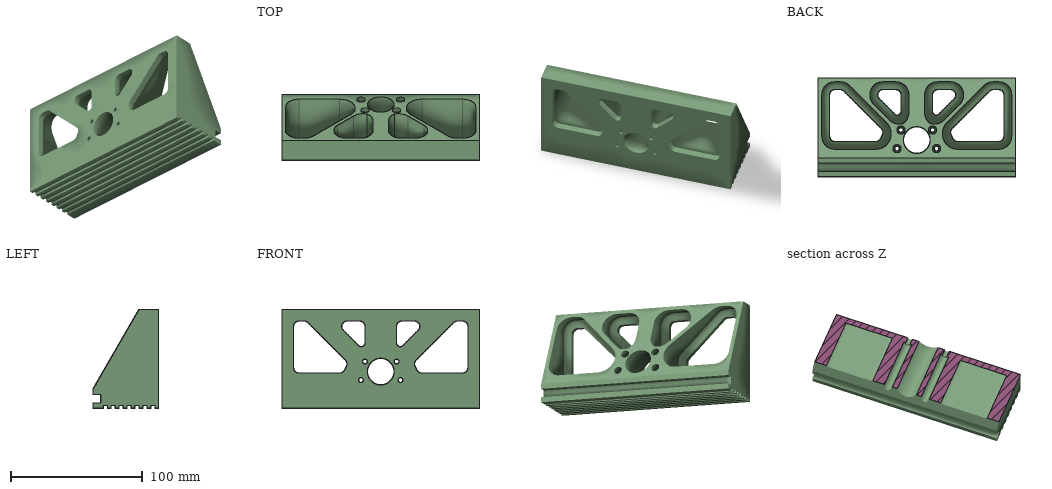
import cadquery as cq
import math

length = 150.0
depth = 50.0
height = 75.0
top_depth = 15.0
slope_from_vertical = 30.0
slope_foot_z = height - (depth - top_depth) / math.tan(math.radians(slope_from_vertical))

slot_bottom_z = 4.0
slot_height = 6.4
slot_depth = 6.0

groove_count = 7
groove_width = 3.0
groove_pitch = 2 * groove_width
groove_depth = 2.0

front_wall = 5.0
lip_width = 6.0
pocket_radius = 10.0
pocket_wall = 3.0
pocket_top_z = height - pocket_wall
large_pocket_outer_x = length / 2 - pocket_wall
large_pocket_floor_z = 20.8
small_pocket_inner_x = 6.0

rib_thickness = 3.0
rib_centre_z = 20.2
half_rib_rise = rib_thickness / 2 * math.sqrt(2)
large_pocket_slant_z = rib_centre_z - half_rib_rise
small_pocket_slant_z = rib_centre_z + half_rib_rise

top_centre_z = pocket_top_z - pocket_radius
large_corner_x = large_pocket_outer_x - pocket_radius
large_floor_centre_z = large_pocket_floor_z + pocket_radius
large_slant_centre_z = large_pocket_slant_z - pocket_radius * math.sqrt(2)
small_corner_x = small_pocket_inner_x + pocket_radius
small_slant_centre_z = small_pocket_slant_z + pocket_radius * math.sqrt(2)

large_nose_radius = 11.8
window_nose_lower_x = 31.0
window_nose_upper_x = 29.7
small_tip_outer_x = 13.4
small_tip_inner_z = 48.6
window_tip_radius = 2.8

bore_diameter = 20.0
bore_z = 27.8
screw_diameter = 3.4
screw_head_diameter = 6.2
upper_screw_x = 12.0
upper_screw_z = 35.4
lower_screw_x = 15.0
lower_screw_z = 21.3

tolerance = 1e-6


def polar(centre, radius, angle):
    """Point on a circle in the XZ plane; angles in degrees from +X towards +Z."""
    turn = math.radians(angle)
    return (centre[0] + radius * math.cos(turn), centre[1] + radius * math.sin(turn))


def rounded_prism(corners, start_y, end_y):
    """Prism along Y whose XZ outline joins corner arcs (centre, radius, start, end) with lines."""
    outline = cq.Workplane("XZ", origin=(0, start_y, 0))
    pen = polar(*corners[0][:3])
    outline = outline.moveTo(*pen)
    for centre, radius, start, end in corners:
        arc_start = polar(centre, radius, start)
        arc_end = polar(centre, radius, end)
        if math.dist(pen, arc_start) > tolerance:
            outline = outline.lineTo(*arc_start)
        outline = outline.threePointArc(polar(centre, radius, (start + end) / 2), arc_end)
        pen = arc_end
    return outline.close().extrude(start_y - end_y)


def direction(start, end):
    """Angle in degrees of the line from start to end."""
    return math.degrees(math.atan2(end[1] - start[1], end[0] - start[0]))


def large_outer_corners(inset):
    """The three corner arcs of the right-hand large opening away from the bore."""
    radius = pocket_radius - inset
    return [
        ((large_corner_x, large_floor_centre_z), radius, -90, 0),
        ((large_corner_x, top_centre_z), radius, 0, 90),
        ((top_centre_z - large_slant_centre_z, top_centre_z), radius, 90, 135),
    ]


def large_pocket_corners():
    """Large pocket: one wide nose arc joins the slant to the floor."""
    nose_x = large_pocket_floor_z - large_pocket_slant_z + large_nose_radius * (1 + math.sqrt(2))
    nose_centre = (nose_x, large_pocket_floor_z + large_nose_radius)
    return large_outer_corners(0) + [(nose_centre, large_nose_radius, 135, 270)]


def large_window_corners():
    """Large window: two arcs with a short straight edge between them form the nose."""
    radius = pocket_radius - lip_width
    upper = (window_nose_upper_x, window_nose_upper_x + large_slant_centre_z)
    lower = (window_nose_lower_x, large_floor_centre_z)
    edge_normal = direction(upper, lower) + 270
    nose = [(upper, radius, 135, edge_normal), (lower, radius, edge_normal, 270)]
    return large_outer_corners(lip_width) + nose


def small_top_corners(inset):
    """The two top corner arcs of the right-hand small opening."""
    radius = pocket_radius - inset
    return [
        ((top_centre_z - small_slant_centre_z, top_centre_z), radius, -45, 90),
        ((small_corner_x, top_centre_z), radius, 90, 180),
    ]


def small_pocket_corners():
    """Small pocket: two arcs meet in a crease at the lower tip."""
    inner = (small_corner_x, small_tip_inner_z)
    outer = (small_tip_outer_x, small_tip_outer_x + small_slant_centre_z)
    crease_angle = direction(outer, inner) + 270
    crease_spread = math.degrees(math.asin(math.dist(inner, outer) / 2 / pocket_radius))
    tip = [
        (inner, pocket_radius, 180, crease_angle - crease_spread),
        (outer, pocket_radius, crease_angle + crease_spread, 315),
    ]
    return small_top_corners(0) + tip


def small_window_corners():
    """Small window: a single arc rounds the lower tip."""
    edge_distance = lip_width + window_tip_radius
    tip_x = small_pocket_inner_x + edge_distance
    tip_z = tip_x + small_pocket_slant_z + edge_distance * math.sqrt(2)
    return small_top_corners(lip_width) + [((tip_x, tip_z), window_tip_radius, 180, 315)]


def block():
    """Wedge-backed block with the back slot and the underside grooves."""
    profile = [
        (0, 0),
        (depth, 0),
        (depth, slope_foot_z),
        (top_depth, height),
        (0, height),
    ]
    body = cq.Workplane("YZ").polyline(profile).close().extrude(length / 2, both=True)
    slot = cq.Workplane("XY").box(length, slot_depth, slot_height, centered=(True, False, False))
    body = body.cut(slot.translate((0, depth - slot_depth, slot_bottom_z)))
    groove = cq.Workplane("XY").box(length, groove_width, groove_depth, centered=(True, False, False))
    for index in range(groove_count):
        body = body.cut(groove.translate((0, groove_width + index * groove_pitch, 0)))
    return body


def cut_both_sides(body, cutter):
    """Cut a right-hand cutter and its mirror image from the body."""
    return body.cut(cutter).cut(cutter.mirror("YZ"))


def cut_pockets(body):
    """Wide pockets from the back, opening through smaller windows in the front wall."""
    for pocket_corners in (large_pocket_corners(), small_pocket_corners()):
        body = cut_both_sides(body, rounded_prism(pocket_corners, front_wall, depth))
    for window_corners in (large_window_corners(), small_window_corners()):
        body = cut_both_sides(body, rounded_prism(window_corners, 0, front_wall))
    return body


def hole(x, z, diameter, start_y):
    """Cylinder along Y from start_y out through the back."""
    return cq.Workplane("XZ", origin=(x, start_y, z)).circle(diameter / 2).extrude(start_y - depth)


def cut_motor_mount(body):
    """Central bore and four screw holes, counterbored from the back."""
    body = body.cut(hole(0, bore_z, bore_diameter, 0))
    for x, z in ((upper_screw_x, upper_screw_z), (lower_screw_x, lower_screw_z)):
        body = cut_both_sides(body, hole(x, z, screw_diameter, 0))
        body = cut_both_sides(body, hole(x, z, screw_head_diameter, front_wall))
    return body


result = cut_motor_mount(cut_pockets(block()))